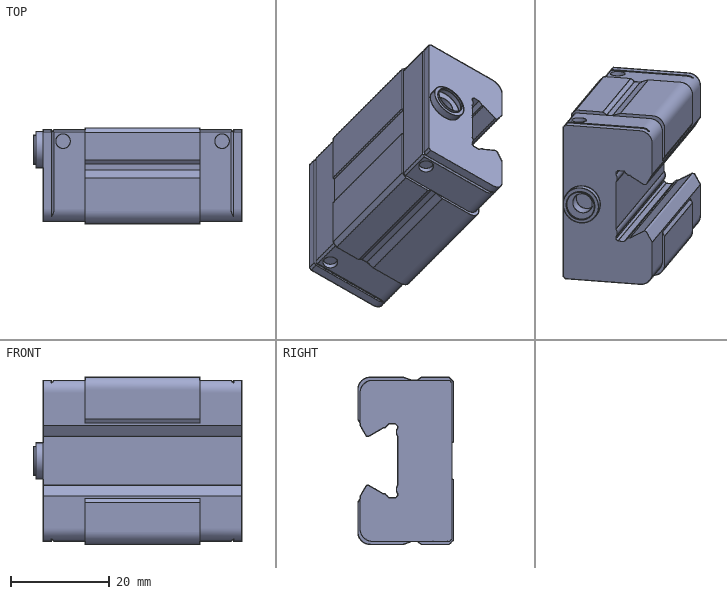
import cadquery as cq
import math


total_length = 42.3
block_depth = 19.5
block_height = 34.0
nipple_length = 1.95
carriage_length = total_length - nipple_length
block_length = 23.35
cap_length = (carriage_length - block_length) / 2
half_height = block_height / 2

front_radius = 2.55
block_chamfer = 0.95
pad_recess_half = 3.85
pad_recess_depth = 0.35
side_groove_start = 6.55
side_groove_wall_drop = 0.45
side_groove_wall_width = 0.68
side_groove_step = 0.13
side_groove_floor_end = 8.6
side_groove_depth = 0.6
side_groove_end = 10.25
front_pad_drop = 8.55

cap_back_inset = 0.4
cap_front_inset = 0.45
cap_side_inset = 0.65
cap_chamfer = 0.45
cap_front = block_depth - cap_front_inset
cap_half_height = half_height - cap_side_inset
plate_thickness = 1.65
seam_width = 0.55
seam_depth = 0.5

lube_radius = 1.5
lube_depth = 1.1
lube_from_end = 4.0
lube_from_back = 2.7

jaw_angle = math.radians(30)
channel_floor = 11.4
mouth_half = 7.2
jaw_tip_half = 4.95
jaw_tip_radius = 0.42
jaw_shelf_start = 13.95
jaw_shelf_end = 14.3
relief_half = 7.5
relief_end = 13.15
relief_chamfer = 0.42
bead_inner = 5.0
bead_outer = 6.65
bead_rise = 0.25

nipple_from_back = 4.45
collar_radius = 3.72
collar_length = 1.52
rim_radius = 2.95
nipple_wall = 0.05
bore_radius = 2.05
bore_depth = 2.95


def mirrored_z(solid):
    return solid.union(solid.mirror("XY"))


def slab(length, back, front, half, chamfer):
    """Bar along X with chamfered back edges and rounded front edges."""
    bar = cq.Workplane("XY").box(length, front - back, 2 * half)
    bar = bar.edges("|X and >Y").chamfer(chamfer)
    bar = bar.edges("|X and <Y").fillet(front_radius)
    return bar.translate((carriage_length / 2, -(back + front) / 2, 0))


def bar_along_x(points, start, length):
    """Extrude an outline given as (depth, z) points."""
    outline = [(-depth, z) for depth, z in points]
    return cq.Workplane("YZ", origin=(start, 0, 0)).polyline(outline).close().extrude(length)


def steel_block():
    block = slab(block_length, 0, block_depth, half_height, block_chamfer)

    back_recess = bar_along_x(
        [
            (0, pad_recess_half),
            (pad_recess_depth, pad_recess_half - pad_recess_depth / 2),
            (pad_recess_depth, -pad_recess_half + pad_recess_depth / 2),
            (0, -pad_recess_half),
        ],
        cap_length,
        block_length,
    )

    wall_end = side_groove_start + side_groove_wall_width
    side_groove = bar_along_x(
        [
            (side_groove_start, half_height),
            (wall_end, half_height - side_groove_wall_drop),
            (wall_end + side_groove_step, half_height - side_groove_depth),
            (side_groove_floor_end, half_height - side_groove_depth),
            (side_groove_end, half_height),
        ],
        cap_length,
        block_length,
    )

    pad_half = half_height - front_pad_drop
    bevel = cap_front_inset / math.tan(jaw_angle)
    front_recess = bar_along_x(
        [
            (block_depth, pad_half),
            (cap_front, pad_half - bevel),
            (cap_front, -pad_half + bevel),
            (block_depth, -pad_half),
        ],
        cap_length,
        block_length,
    )
    return block.cut(back_recess).cut(mirrored_z(side_groove)).cut(front_recess)


def cap_seam():
    """U-shaped seam over the sides and back: square on the plate side, sloped on the inner side."""
    back = -cap_back_inset
    seam_bottom = cap_half_height - seam_depth
    start = plate_thickness
    side_profile = [
        (start, cap_half_height),
        (start, seam_bottom),
        (start + seam_width, cap_half_height),
    ]
    side = (
        cq.Workplane("XZ", origin=(0, back, 0))
        .polyline(side_profile)
        .close()
        .extrude(cap_front - cap_back_inset)
    )
    back_profile = [
        (start, back),
        (start, back - seam_depth),
        (start + seam_width, back),
    ]
    rear = (
        cq.Workplane("XY", origin=(0, 0, -cap_half_height))
        .polyline(back_profile)
        .close()
        .extrude(2 * cap_half_height)
    )
    return mirrored_z(side).union(rear)


def lube_hole():
    hole = (
        cq.Workplane("XY", origin=(lube_from_end, -lube_from_back, cap_half_height - lube_depth))
        .circle(lube_radius)
        .extrude(lube_depth)
    )
    return mirrored_z(hole)


def rail_channel():
    jaw_slope = math.tan(jaw_angle)
    shelf_half = relief_half - (jaw_shelf_start - relief_end)
    tip_inner = jaw_shelf_end + (shelf_half - jaw_tip_half) / jaw_slope
    tip_outer = cap_front - (mouth_half - jaw_tip_half) * jaw_slope
    outer_half = mouth_half + cap_front_inset / jaw_slope
    upper = [
        (block_depth, outer_half),
        (tip_outer, jaw_tip_half),
        (tip_inner, jaw_tip_half),
        (jaw_shelf_end, shelf_half),
        (jaw_shelf_start, shelf_half),
        (relief_end, relief_half),
        (channel_floor + relief_chamfer, relief_half),
        (channel_floor, relief_half - relief_chamfer),
    ]
    lower = [(depth, -z) for depth, z in reversed(upper)]
    channel = bar_along_x(upper + lower, 0, carriage_length)
    reach = 0.05
    for side in (1, -1):
        tip = cq.selectors.BoxSelector(
            (-reach, -tip_outer - reach, side * jaw_tip_half - reach),
            (carriage_length + reach, -tip_outer + reach, side * jaw_tip_half + reach),
        )
        channel = channel.edges(tip).fillet(jaw_tip_radius)

    bead = (
        cq.Workplane("YZ")
        .moveTo(-channel_floor, bead_inner)
        .threePointArc(
            (-channel_floor - bead_rise, (bead_inner + bead_outer) / 2),
            (-channel_floor, bead_outer),
        )
        .close()
        .extrude(carriage_length)
    )
    return channel.cut(mirrored_z(bead))


def revolved_about_nipple_axis(points):
    """Revolve (x, radius) points about the nipple axis, which runs along X."""
    profile = cq.Workplane("XY").polyline(points).close()
    return profile.revolve(360, (0, 0, 0), (1, 0, 0)).translate((0, -nipple_from_back, 0))


def nipple():
    return revolved_about_nipple_axis(
        [
            (0, 0),
            (0, collar_radius),
            (-collar_length, collar_radius),
            (-collar_length, rim_radius),
            (-nipple_length, rim_radius),
            (-nipple_length, 0),
        ]
    )


def nipple_cavity():
    return revolved_about_nipple_axis(
        [
            (bore_depth, 0),
            (bore_depth, bore_radius),
            (0, bore_radius),
            (0, collar_radius - nipple_wall),
            (nipple_wall - collar_length, collar_radius - nipple_wall),
            (nipple_wall - collar_length, rim_radius - nipple_wall),
            (-nipple_length, rim_radius - nipple_wall),
            (-nipple_length, 0),
        ]
    )


def at_both_ends(solid):
    return solid.union(solid.mirror("YZ", (carriage_length / 2, 0, 0)))


caps = slab(carriage_length, cap_back_inset, cap_front, cap_half_height, cap_chamfer)
caps = caps.cut(at_both_ends(cap_seam())).cut(at_both_ends(lube_hole()))

result = caps.union(steel_block()).cut(rail_channel())
result = result.union(nipple()).cut(nipple_cavity())